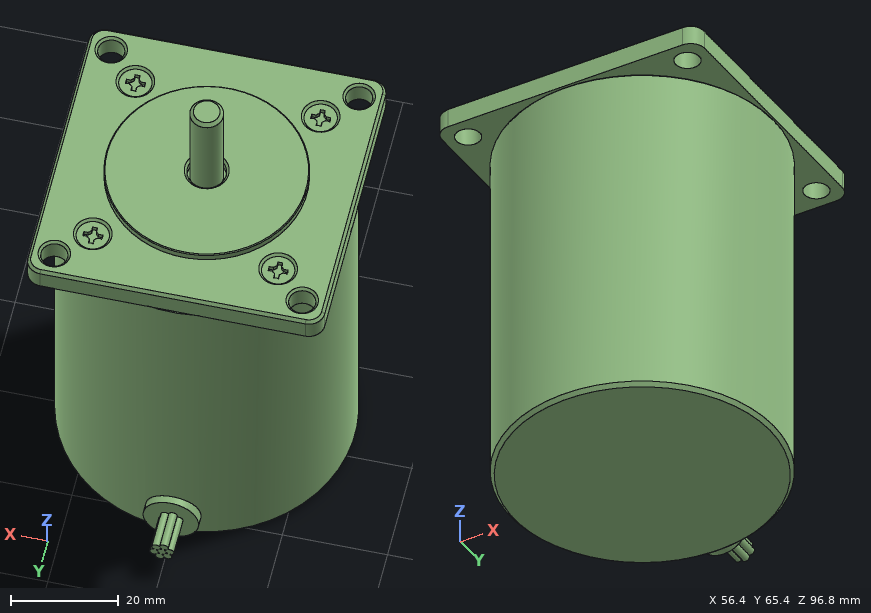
import cadquery as cq
import math

total_height = 96.8
flange_top = 76.2
flange_thickness = 4.5
flange_bottom = flange_top - flange_thickness

body_diameter = 56.4
body_radius = body_diameter / 2
rear_chamfer = 0.8
body_top_chamfer = 0.5

flange_width = body_diameter
flange_corner_radius = 3.0
flange_chamfer = 0.6
mount_hole_spacing = 47.1
mount_hole_diameter = 5.0
mount_hole_chamfer = 0.5

pilot_diameter = 38.1
pilot_height = 1.5
pilot_chamfer = 0.2
pilot_top = flange_top + pilot_height
shaft_diameter = 6.3
shaft_chamfer = 0.7
shaft_opening_diameter = 7.4
shaft_opening_depth = 1.9
shaft_opening_chamfer = 0.5

screw_spacing = 35.2
screw_recess_diameter = 6.2
screw_recess_depth = 0.5
screw_recess_chamfer = 0.5
cross_length = 3.6
cross_arm_width = 0.9
cross_hub_diagonal = 2.8
cross_depth = 0.9

outlet_height = 5.9
grommet_diameter = 10.5
grommet_face_y = 29.7
overall_depth = 65.4
cable_end_y = overall_depth - body_radius
outlet_embedment = 4.8
outlet_start_y = body_radius - outlet_embedment
wire_diameter = 1.6
wire_pitch = 1.5
ring_wire_count = 6
ring_wire_start_angle = -15.0


def square_pattern(height, spacing):
    """Workplane at a height with the four corners of a centred square selected."""
    return cq.Workplane("XY", origin=(0, 0, height)).rect(spacing, spacing, forConstruction=True).vertices()


def chamfered_bores(top, spacing, diameter, depth, chamfer):
    """Four bores sunk from a face, each with a 45 degree lead-in."""
    bores = square_pattern(top, spacing).circle(diameter / 2).extrude(-depth)
    lead_ins = square_pattern(top, spacing).circle(diameter / 2 + chamfer).extrude(-chamfer, taper=45)
    return bores.union(lead_ins)


def make_body():
    body = cq.Workplane("XY").circle(body_radius).extrude(flange_bottom)
    return body.faces("<Z").edges().chamfer(rear_chamfer).faces(">Z").edges().chamfer(body_top_chamfer)


def make_flange():
    flange = (
        cq.Workplane("XY", origin=(0, 0, flange_bottom))
        .rect(flange_width, flange_width)
        .extrude(flange_thickness)
        .edges("|Z")
        .fillet(flange_corner_radius)
        .faces(">Z")
        .edges()
        .chamfer(flange_chamfer)
    )
    mount_holes = chamfered_bores(
        flange_top, mount_hole_spacing, mount_hole_diameter, flange_thickness, mount_hole_chamfer
    )
    return flange.cut(mount_holes)


def make_pilot():
    pilot = cq.Workplane("XY", origin=(0, 0, flange_top)).circle(pilot_diameter / 2).extrude(pilot_height)
    return pilot.faces(">Z").edges().chamfer(pilot_chamfer)


def make_shaft_opening():
    opening_radius = shaft_opening_diameter / 2
    plane = cq.Workplane("XY", origin=(0, 0, pilot_top))
    bore = plane.circle(opening_radius).extrude(-shaft_opening_depth)
    lead_in = plane.circle(opening_radius + shaft_opening_chamfer).extrude(-shaft_opening_chamfer, taper=45)
    return bore.union(lead_in)


def make_shaft():
    shaft_base = pilot_top - shaft_opening_depth
    shaft = cq.Workplane("XY", origin=(0, 0, shaft_base)).circle(shaft_diameter / 2)
    return shaft.extrude(total_height - shaft_base).faces(">Z").edges().chamfer(shaft_chamfer)


def make_screw_recesses():
    """Conical recesses down to the screw heads, plus the cross slots in the heads."""
    recesses = chamfered_bores(
        flange_top, screw_spacing, screw_recess_diameter, screw_recess_depth, screw_recess_chamfer
    )
    head_height = flange_top - screw_recess_depth
    for length, width in ((cross_length, cross_arm_width), (cross_arm_width, cross_length)):
        arms = square_pattern(head_height, screw_spacing).rect(length, width).extrude(-cross_depth)
        recesses = recesses.union(arms)
    hub = square_pattern(head_height, screw_spacing).polygon(4, cross_hub_diagonal).extrude(-cross_depth)
    return recesses.union(hub)


def make_rod_along_y(x, z, diameter, end_y):
    """Round rod from inside the body out to end_y."""
    rod = cq.Workplane("XZ", origin=(x, outlet_start_y, z)).circle(diameter / 2)
    return rod.extrude(outlet_start_y - end_y)


def make_cable_outlet():
    """Round grommet with a bundle of one central wire and a ring of wires around it."""
    outlet = make_rod_along_y(0, outlet_height, grommet_diameter, grommet_face_y)
    outlet = outlet.union(make_rod_along_y(0, outlet_height, wire_diameter, cable_end_y))
    for index in range(ring_wire_count):
        angle = math.radians(ring_wire_start_angle + index * 360 / ring_wire_count)
        wire_x = wire_pitch * math.cos(angle)
        wire_z = outlet_height + wire_pitch * math.sin(angle)
        outlet = outlet.union(make_rod_along_y(wire_x, wire_z, wire_diameter, cable_end_y))
    return outlet


result = (
    make_body()
    .union(make_flange())
    .union(make_pilot())
    .cut(make_shaft_opening())
    .union(make_shaft())
    .cut(make_screw_recesses())
    .union(make_cable_outlet())
)